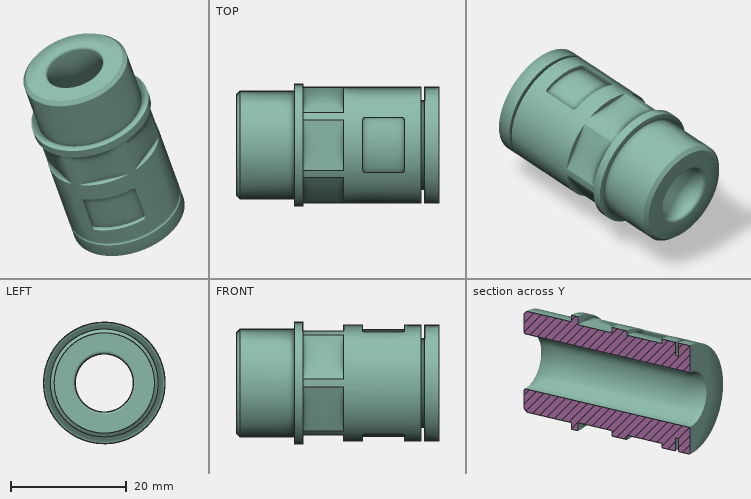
import cadquery as cq
import math

TOTAL_LENGTH = 35.0
FLANGE_START = 10.0
FLANGE_END = 11.5
HEX_END = 18.5
GROOVE_START = 31.9
GROOVE_WIDTH = 0.6

BORE_DIAMETER = 10.0
SPIGOT_DIAMETER = 18.6
FLANGE_DIAMETER = 21.0
BODY_DIAMETER = 20.0
GROOVE_DIAMETER = 15.3

SPIGOT_CHAMFER = 0.65
BORE_MOUTH_RADIUS = 0.5

HEX_SIDES = 6
HEX_ACROSS_FLATS = 18.0

RECESS_START = 21.8
RECESS_LENGTH = 7.2
RECESS_WIDTH = 9.5
RECESS_CORNER_RADIUS = 0.5
RECESS_FLOOR_DIAMETER = 18.4


def cylinder(diameter, start, end):
    """Solid cylinder about the X axis between two stations."""
    return cq.Workplane("YZ", origin=(start, 0, 0)).circle(diameter / 2).extrude(end - start)


def stepped_body():
    """Chamfered spigot, flange and main body joined end to end."""
    spigot = cylinder(SPIGOT_DIAMETER, 0, FLANGE_START).faces("<X").chamfer(SPIGOT_CHAMFER)
    flange = cylinder(FLANGE_DIAMETER, FLANGE_START, FLANGE_END)
    body = cylinder(BODY_DIAMETER, FLANGE_END, TOTAL_LENGTH)
    return spigot.union(flange).union(body)


def wrench_flat_cutter():
    """Ring around a hexagonal prism, with flats facing up and down."""
    across_corners = HEX_ACROSS_FLATS / math.cos(math.pi / HEX_SIDES)
    hexagon = (
        cq.Workplane("YZ", origin=(FLANGE_END, 0, 0))
        .polygon(HEX_SIDES, across_corners)
        .extrude(HEX_END - FLANGE_END)
    )
    return cylinder(FLANGE_DIAMETER, FLANGE_END, HEX_END).cut(hexagon)


def groove_cutter():
    """Ring that leaves the reduced neck behind the end collar."""
    groove_end = GROOVE_START + GROOVE_WIDTH
    ring = cylinder(FLANGE_DIAMETER, GROOVE_START, groove_end)
    return ring.cut(cylinder(GROOVE_DIAMETER, GROOVE_START, groove_end))


def recess_cutter():
    """Rounded rectangular recesses, top and bottom, with a curved floor."""
    blocks = (
        cq.Workplane("XY")
        .box(RECESS_LENGTH, RECESS_WIDTH, FLANGE_DIAMETER)
        .edges("|Z")
        .fillet(RECESS_CORNER_RADIUS)
        .translate((RECESS_START + RECESS_LENGTH / 2, 0, 0))
    )
    return blocks.cut(cylinder(RECESS_FLOOR_DIAMETER, 0, TOTAL_LENGTH))


def round_bore_mouth(part):
    """Round the edge where the bore meets the spigot face."""
    mouth = cq.selectors.RadiusNthSelector(0)
    return part.faces("<X").edges(mouth).fillet(BORE_MOUTH_RADIUS)


part = stepped_body()
part = part.cut(wrench_flat_cutter())
part = part.cut(groove_cutter())
part = part.cut(recess_cutter())
part = part.cut(cylinder(BORE_DIAMETER, 0, TOTAL_LENGTH))
result = round_bore_mouth(part)